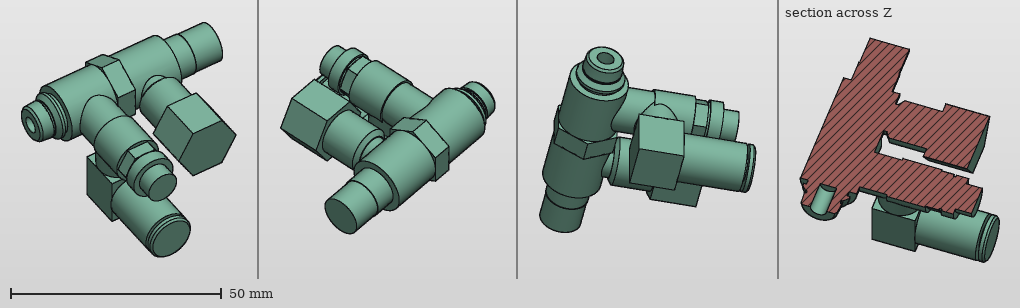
import cadquery as cq
import math


barrel_dia = 14.2
barrel_length = 31.0
wrench_flats = 14.2
wrench_start = 13.0
wrench_end = 17.9

rear_sleeve_dia = 10.35
rear_sleeve_end = 36.4
rear_tube_dia = 10.0
rear_tube_end = 43.95

stub_neck_dia = 10.3
stub_neck_end = 1.1
seal_dia = 11.75
seal_rim_end = 1.85
seal_end = 3.0
seal_small_dia = 9.4
undercut_dia = 8.7
undercut_end = 3.65
thread_start_dia = 9.6
thread_end_dia = 9.1
thread_end = 6.55
stub_length = 7.15
stub_tip_dia = 8.1
bore_dia = 4.05
bore_depth = stub_length

port_y = 23.7
port_neck_dia = 8.4
port_cone_start = 7.9
port_cone_small_dia = 8.9
port_cone_end = 8.9
port_dia = 11.6
port_hex_start = 18.3
port_hex_end = 29.4
port_hex_flats = 14.1

adjuster_y = 7.6
adjuster_root_dia = 10.8
adjuster_body_start = 13.95
adjuster_body_dia = 11.8
adjuster_nut_start = 23.8
adjuster_nut_end = 27.05
adjuster_nut_flats = 9.6
adjuster_neck_dia = 10.0
collar_start = 27.55
collar_end = 30.65
collar_dia = 11.1
knob_end = 34.7
knob_dia = 7.9

elbow_x = 15.6
elbow_width = 10.9
elbow_top = -7.2
elbow_bottom = -19.8
push_fit_dia = 11.6
push_fit_z = elbow_bottom + push_fit_dia / 2
push_fit_end = 36.3
release_neck_dia = 6.4
release_start = 37.0
release_dia = 11.5
release_chamfer = 0.5
release_end = 38.44


def cylinder_x(dia, start, end, y, z=0):
    """Cylinder along X between two X positions."""
    return cq.Workplane("YZ", origin=(start, y, z)).circle(dia / 2).extrude(end - start)


def hexagon_x(flats, start, end, y):
    """Hexagonal prism along X with two flats facing up and down."""
    corner_dia = flats / math.cos(math.pi / 6)
    return cq.Workplane("YZ", origin=(start, y, 0)).polygon(6, corner_dia).extrude(end - start)


def cylinder_y(dia, start, end):
    """Cylinder on the barrel axis between two Y positions."""
    return cq.Workplane("XZ", origin=(0, end, 0)).circle(dia / 2).extrude(end - start)


def make_barrel():
    corner_dia = wrench_flats / math.cos(math.pi / 6)
    wrench = (
        cq.Workplane("XZ", origin=(0, wrench_end, 0))
        .transformed(rotate=(0, 0, 30))
        .polygon(6, corner_dia)
        .extrude(wrench_end - wrench_start)
    )
    return (
        cylinder_y(barrel_dia, 0, wrench_start)
        .union(wrench)
        .union(cylinder_y(barrel_dia, wrench_end, barrel_length))
        .union(cylinder_y(rear_sleeve_dia, barrel_length, rear_sleeve_end))
        .union(cylinder_y(rear_tube_dia, rear_sleeve_end, rear_tube_end))
    )


def make_stub():
    """Neck, sealing ring, undercut and tapered thread turned about the barrel axis."""
    profile = [
        (0, 0),
        (stub_neck_dia / 2, 0),
        (stub_neck_dia / 2, -stub_neck_end),
        (seal_dia / 2, -stub_neck_end),
        (seal_dia / 2, -seal_rim_end),
        (seal_small_dia / 2, -seal_end),
        (undercut_dia / 2, -seal_end),
        (undercut_dia / 2, -undercut_end),
        (thread_start_dia / 2, -undercut_end),
        (thread_end_dia / 2, -thread_end),
        (stub_tip_dia / 2, -stub_length),
        (0, -stub_length),
    ]
    return cq.Workplane("XY").polyline(profile).close().revolve(360, (0, 0, 0), (0, 1, 0))


def make_port_branch():
    cone_rise = (port_dia - port_cone_small_dia) / 2
    shank = (
        cylinder_x(port_dia, port_cone_start, port_hex_start, port_y)
        .faces("<X")
        .chamfer(port_cone_end - port_cone_start, cone_rise)
    )
    return (
        cylinder_x(port_neck_dia, 0, port_cone_start, port_y)
        .union(shank)
        .union(hexagon_x(port_hex_flats, port_hex_start, port_hex_end, port_y))
    )


def make_adjuster_branch():
    return (
        cylinder_x(adjuster_root_dia, 0, adjuster_body_start, adjuster_y)
        .union(cylinder_x(adjuster_body_dia, adjuster_body_start, adjuster_nut_start, adjuster_y))
        .union(hexagon_x(adjuster_nut_flats, adjuster_nut_start, adjuster_nut_end, adjuster_y))
        .union(cylinder_x(adjuster_neck_dia, adjuster_nut_end, collar_start, adjuster_y))
        .union(cylinder_x(collar_dia, collar_start, collar_end, adjuster_y))
        .union(cylinder_x(knob_dia, collar_end, knob_end, adjuster_y))
    )


def make_elbow():
    """Round stem, square block and push-in fitting with its release ring."""
    center = cq.Workplane("XY", origin=(elbow_x, adjuster_y, elbow_top))
    stem = center.circle(elbow_width / 2).extrude(-elbow_top)
    block = center.rect(elbow_width, elbow_width).extrude(elbow_bottom - elbow_top)
    block_side = elbow_x + elbow_width / 2
    ring = (
        cylinder_x(release_dia, release_start, release_end, adjuster_y, push_fit_z)
        .faces(">X")
        .chamfer(release_chamfer)
    )
    return (
        stem.union(block)
        .union(cylinder_x(push_fit_dia, block_side, push_fit_end, adjuster_y, push_fit_z))
        .union(cylinder_x(release_neck_dia, push_fit_end, release_start, adjuster_y, push_fit_z))
        .union(ring)
    )


bore = cylinder_y(bore_dia, -stub_length, bore_depth - stub_length)

result = (
    make_barrel()
    .union(make_stub())
    .union(make_port_branch())
    .union(make_adjuster_branch())
    .union(make_elbow())
    .cut(bore)
)